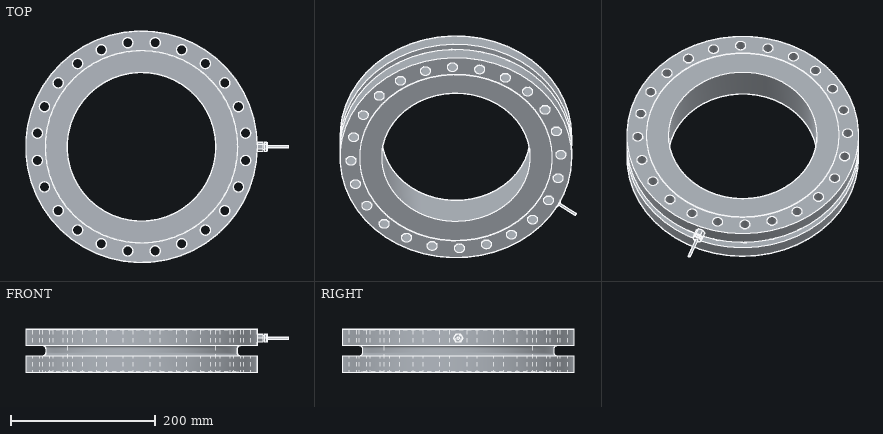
import cadquery as cq
import math

flange_diameter = 320.0
bore_diameter = 205.0
ring_height = 60.0
flange_thickness = 23.0
neck_diameter = 265.0
neck_fillet = 4.5
recess_diameter = 266.0
recess_depth = 1.0
bolt_count = 24
bolt_hole_diameter = 13.8
bolt_circle_diameter = 290.0

gland_axis_height = 17.5
hex_across_flats = 11.3
hex_length = 8.0
groove_diameter = 8.0
groove_width = 1.8
nut_length = 3.0
collar_length = 1.0

cable_diameter = 3.2
overall_length = 363.5

flange_radius = flange_diameter / 2
half_height = ring_height / 2
half_gap = half_height - flange_thickness
nut_start = flange_radius + hex_length + groove_width
nut_end = nut_start + nut_length
gland_end = nut_end + collar_length
hex_across_corners = hex_across_flats / math.cos(math.pi / 6)
cable_end = overall_length - flange_radius


def disk(diameter, bottom, top):
    """Vertical cylinder on the ring axis."""
    return cq.Workplane("XY").workplane(offset=bottom).circle(diameter / 2).extrude(top - bottom)


def gland_plane(x):
    """Workplane facing +X, centred on the gland axis."""
    return cq.Workplane("YZ", origin=(x, 0, gland_axis_height))


def rod(diameter, start, end):
    """Cylinder along the gland axis."""
    return gland_plane(start).circle(diameter / 2).extrude(end - start)


def hex_bar(start, end):
    """Hexagonal bar along the gland axis, with flats on top and bottom and corners at the sides."""
    return gland_plane(start).polygon(6, hex_across_corners).extrude(end - start)


def make_ring():
    """Two flanges joined by a filleted neck, with a bore, face recesses and bolt holes."""
    neck_radius = neck_diameter / 2
    fillet_radius = neck_radius + neck_fillet
    straight_half = half_gap - neck_fillet
    ring = (
        cq.Workplane("XZ")
        .moveTo(bore_diameter / 2, -half_height)
        .lineTo(flange_radius, -half_height)
        .lineTo(flange_radius, -half_gap)
        .lineTo(fillet_radius, -half_gap)
        .radiusArc((neck_radius, -straight_half), neck_fillet)
        .lineTo(neck_radius, straight_half)
        .radiusArc((fillet_radius, half_gap), neck_fillet)
        .lineTo(flange_radius, half_gap)
        .lineTo(flange_radius, half_height)
        .lineTo(bore_diameter / 2, half_height)
        .close()
        .revolve(360, (0, 0, 0), (0, 1, 0))
    )
    ring = ring.cut(disk(recess_diameter, half_height - recess_depth, half_height))
    ring = ring.cut(disk(recess_diameter, -half_height, recess_depth - half_height))
    half_pitch = 360 / bolt_count / 2
    holes = (
        cq.Workplane("XY")
        .workplane(offset=-half_height)
        .polarArray(bolt_circle_diameter / 2, half_pitch, 360, bolt_count)
        .circle(bolt_hole_diameter / 2)
        .extrude(ring_height)
    )
    return ring.cut(holes)


def make_gland():
    """Hexagonal body, groove, hexagonal nut and round end collar, seated on the round flange edge."""
    seat_start = flange_radius - hex_across_flats / 2
    body = hex_bar(seat_start, flange_radius + hex_length)
    groove = rod(groove_diameter, flange_radius + hex_length, nut_start)
    nut = hex_bar(nut_start, nut_end)
    collar = rod(hex_across_flats, nut_end, gland_end)
    gland = body.union(groove).union(nut).union(collar)
    return gland.cut(disk(flange_diameter, -half_height, half_height))


def make_cable():
    """Plain round cable leaving the outer face of the gland."""
    return rod(cable_diameter, gland_end, cable_end)


ring = make_ring()
gland = make_gland()
cable = make_cable()

result = cq.Compound.makeCompound([ring.val(), gland.val(), cable.val()])